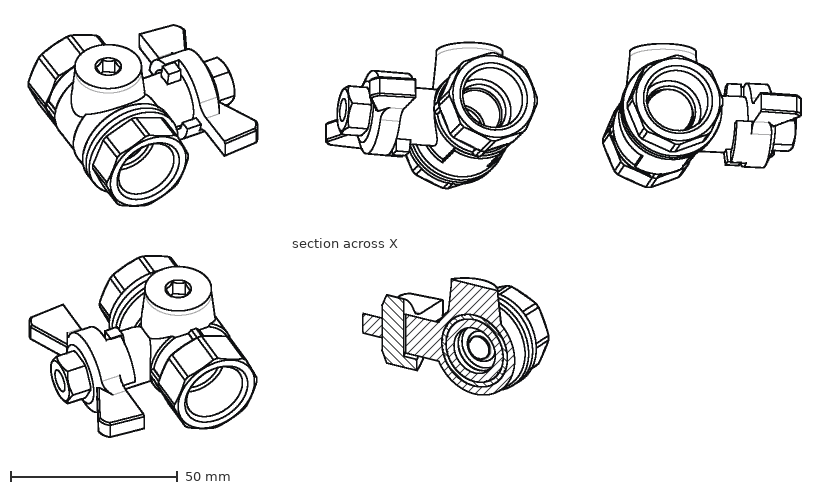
import cadquery as cq
import math


PIPE_END = 26.0
OCTAGON_FLATS = 26.0
OCTAGON_ROUND_R = 13.8
END_FACE_R = 12.75
END_CHAMFER = 0.45
LEFT_OCTAGON_END = -14.05
LEFT_OCTAGON_BACK_R = 12.95
LEFT_OCTAGON_BACK_CHAMFER = 0.4
THREAD_D = 18.65
THREAD_MOUTH_D = 21.0
THREAD_DEPTH = 13.5
PORT_D = 15.45

WAIST_R = 12.8
BARREL_R = 13.55
SHOULDER_R = 14.2
BARREL_START = -9.35
BARREL_STEP = 0.6
SHOULDER_START = 4.05
COLLAR_CONE_START = 11.35
COLLAR_START = 12.15
COLLAR_SPLIT = 14.4
COLLAR_END = 16.5
COLLAR_D = 30.0

SIDE_RIB_R = BARREL_R
SIDE_RIB_TOP_WIDTH = 2.2
UPRIGHT_RIB_R = OCTAGON_ROUND_R
UPRIGHT_RIB_TOP_WIDTH = 1.55
RIB_BASE_WIDTH = 3.6
PAD_START = -8.8
PAD_HALF_WIDTH = 7.0

BOSS_TOP = 21.5
BOSS_RIM_HEIGHT = 1.7
BOSS_D = 20.0
BOSS_DRAFT = 6.0
SOCKET_FLATS = 6.4
SOCKET_MOUTH_D = 7.85
SOCKET_DEPTH = 5.0

NECK_D = 17.0
NECK_END = 24.4
LUG_HALF_WIDTH = 2.1
LUG_REACH = 12.1
LUG_TOP = 23.45
LUG_BOTTOM = 19.4
LUG_ROOT_BOTTOM = 18.9

BALL_R = 11.5
BALL_BORE_D = 14.4
POPPET_D = 14.0
POPPET_THICKNESS = 1.5
POPPET_BACK = 11.2
POPPET_BOSS_D = 9.6
POPPET_BOSS_HEIGHT = 1.1
POPPET_BOSS_ROUND = 0.9
POPPET_TIP_D = 7.15
POPPET_TIP_HEIGHT = 0.55

SPIGOT_START = 4.5

STEM_D = 8.9
STEM_TOP_D = 6.8
STEM_BOTTOM = 9.5

HUB_R = 12.55
HUB_BOTTOM = 25.0
HUB_CONE_START = 31.1
HUB_TOP = 32.7
HUB_TOP_R = 9.25
HUB_CONE_SLOPE = (HUB_TOP - HUB_CONE_START) / (HUB_R - HUB_TOP_R)
SKIRT_BOTTOM = 20.3
SKIRT_INNER_D = 18.65
WING_THICKNESS = 5.9
WING_CHAMFER = 0.55
WING_TIP = 28.0
WING_ROOT = 10.35
WING_SHOULDER = (27.0, 35.95)
WING_CREST_MID = (25.35, 37.35)
WING_CREST = (23.1, 37.95)
GUSSET_END = 15.5

NUT_FLATS = 13.0
NUT_TOP = 39.5
NUT_TOP_FACE_R = 6.3
NUT_BOTTOM_FACE_R = 7.05
NUT_CHAMFER_ANGLE = 30.0


def turned_x(points):
    """Solid of revolution about X from (x, radius) points."""
    return cq.Workplane("XY").polyline(points).close().revolve(360, (0, 0, 0), (1, 0, 0))


def turned_y(points):
    """Solid of revolution about Y from (radius, y) points."""
    return cq.Workplane("XY").polyline(points).close().revolve(360, (0, 0, 0), (0, 1, 0))


def cylinder_x(diameter, start, end):
    return cq.Workplane("YZ").workplane(offset=start).circle(diameter / 2).extrude(end - start)


def cylinder_y(diameter, start, end):
    return cq.Workplane("XZ").workplane(offset=-end).circle(diameter / 2).extrude(end - start)


def octagon(start, end):
    """Wrench octagon along X with corners on the Y and Z axes."""
    corner_d = OCTAGON_FLATS / math.cos(math.pi / 8)
    return cq.Workplane("YZ").workplane(offset=start).polygon(8, corner_d).extrude(end - start)


def thread_bore(direction):
    """Chamfered thread bore and port, open at the pipe end on the given side of the origin."""
    mouth_depth = (THREAD_MOUTH_D - THREAD_D) / 2
    thread_end = PIPE_END - THREAD_DEPTH
    points = [
        (0, 0),
        (PIPE_END, 0),
        (PIPE_END, THREAD_MOUTH_D / 2),
        (PIPE_END - mouth_depth, THREAD_D / 2),
        (thread_end, THREAD_D / 2),
        (thread_end, PORT_D / 2),
        (0, PORT_D / 2),
    ]
    return turned_x([(direction * x, r) for x, r in points])


def ball_sphere():
    """Full ball, turned about the pipe axis."""
    half_disc = cq.Workplane("XY").moveTo(-BALL_R, 0).threePointArc((0, BALL_R), (BALL_R, 0)).close()
    return half_disc.revolve(360, (0, 0, 0), (1, 0, 0))


def left_octagon():
    turned_envelope = turned_x([
        (-PIPE_END, 0),
        (-PIPE_END, END_FACE_R),
        (-PIPE_END + END_CHAMFER, OCTAGON_ROUND_R),
        (LEFT_OCTAGON_END - LEFT_OCTAGON_BACK_CHAMFER, OCTAGON_ROUND_R),
        (LEFT_OCTAGON_END, LEFT_OCTAGON_BACK_R),
        (LEFT_OCTAGON_END, 0),
    ])
    return octagon(-PIPE_END, LEFT_OCTAGON_END).intersect(turned_envelope)


def barrel():
    return turned_x([
        (LEFT_OCTAGON_END, 0),
        (LEFT_OCTAGON_END, WAIST_R),
        (BARREL_START, WAIST_R),
        (BARREL_START + BARREL_STEP, BARREL_R),
        (SHOULDER_START, BARREL_R),
        (SHOULDER_START + BARREL_STEP, SHOULDER_R),
        (COLLAR_CONE_START, SHOULDER_R),
        (COLLAR_START, COLLAR_D / 2),
        (COLLAR_SPLIT, COLLAR_D / 2),
        (COLLAR_SPLIT, 0),
    ])


def waist_rib_pair(top_r, top_width):
    """Bar through the pipe axis whose tapered ends form ribs on the +Z and -Z sides of the waist."""
    start = LEFT_OCTAGON_END - LEFT_OCTAGON_BACK_CHAMFER
    end = BARREL_START + BARREL_STEP
    upper_outline = [
        (-RIB_BASE_WIDTH / 2, WAIST_R),
        (-top_width / 2, top_r),
        (top_width / 2, top_r),
        (RIB_BASE_WIDTH / 2, WAIST_R),
    ]
    lower_outline = [(-y, -z) for y, z in upper_outline]
    outline = cq.Workplane("YZ").workplane(offset=start).polyline(upper_outline + lower_outline).close()
    return outline.extrude(end - start)


def waist_ribs():
    """Four tapered ribs that bridge the waist between octagon and barrel."""
    upright_ribs = waist_rib_pair(UPRIGHT_RIB_R, UPRIGHT_RIB_TOP_WIDTH)
    side_ribs = waist_rib_pair(SIDE_RIB_R, SIDE_RIB_TOP_WIDTH).rotate((0, 0, 0), (1, 0, 0), 90)
    return upright_ribs.union(side_ribs)


def marking_pad():
    """Raised strip under the barrel, flush with the thicker shoulder."""
    ring = turned_x([
        (PAD_START, 0),
        (PAD_START, BARREL_R),
        (PAD_START + BARREL_STEP, SHOULDER_R),
        (COLLAR_CONE_START, SHOULDER_R),
        (COLLAR_CONE_START, 0),
    ])
    strip = cq.Workplane("XY").box(2 * PIPE_END, 2 * PAD_HALF_WIDTH, COLLAR_D, centered=(True, True, False))
    return ring.intersect(strip.translate((0, 0, -COLLAR_D)))


def drafted_boss():
    rim_bottom = BOSS_TOP - BOSS_RIM_HEIGHT
    base_r = BOSS_D / 2 + rim_bottom * math.tan(math.radians(BOSS_DRAFT))
    return (
        cq.Workplane("XZ")
        .polyline([
            (0, 0),
            (base_r, 0),
            (BOSS_D / 2, rim_bottom),
            (BOSS_D / 2, BOSS_TOP),
            (0, BOSS_TOP),
        ])
        .close()
        .revolve(360, (0, 0, 0), (0, 1, 0))
    )


def boss_socket():
    """Blind hexagon socket with a countersunk mouth."""
    corner_d = SOCKET_FLATS / math.cos(math.pi / 6)
    hexagon = cq.Workplane("XY").workplane(offset=BOSS_TOP - SOCKET_DEPTH).polygon(6, corner_d)
    mouth_depth = (SOCKET_MOUTH_D - SOCKET_FLATS) / 2
    mouth = (
        cq.Workplane("XY")
        .workplane(offset=BOSS_TOP - mouth_depth)
        .circle(SOCKET_FLATS / 2)
        .workplane(offset=mouth_depth)
        .circle(SOCKET_MOUTH_D / 2)
        .loft()
    )
    return hexagon.extrude(SOCKET_DEPTH).union(mouth)


def stop_lugs():
    """Bar through the neck whose two ends stand out as the handle stops."""
    neck_r = NECK_D / 2
    return (
        cq.Workplane("YZ")
        .workplane(offset=-LUG_HALF_WIDTH)
        .polyline([
            (LUG_TOP, LUG_REACH),
            (LUG_BOTTOM, LUG_REACH),
            (LUG_ROOT_BOTTOM, neck_r),
            (LUG_ROOT_BOTTOM, -neck_r),
            (LUG_BOTTOM, -LUG_REACH),
            (LUG_TOP, -LUG_REACH),
        ])
        .close()
        .extrude(2 * LUG_HALF_WIDTH)
    )


def make_housing():
    solid = left_octagon().union(barrel()).union(waist_ribs()).union(marking_pad())
    solid = solid.union(drafted_boss()).cut(boss_socket())
    solid = solid.union(cylinder_y(NECK_D, 0, NECK_END)).union(stop_lugs())
    solid = solid.cut(thread_bore(-1)).cut(ball_sphere())
    solid = solid.cut(cylinder_x(2 * BALL_R, 0, COLLAR_SPLIT))
    return solid.cut(cylinder_y(STEM_D, 0, NECK_END))


def make_end_cap():
    turned_envelope = turned_x([
        (COLLAR_SPLIT, 0),
        (COLLAR_SPLIT, OCTAGON_ROUND_R),
        (PIPE_END - END_CHAMFER, OCTAGON_ROUND_R),
        (PIPE_END, END_FACE_R),
        (PIPE_END, 0),
    ])
    solid = octagon(COLLAR_SPLIT, PIPE_END).intersect(turned_envelope)
    solid = solid.union(cylinder_x(COLLAR_D, COLLAR_SPLIT, COLLAR_END))
    solid = solid.union(cylinder_x(2 * BALL_R, SPIGOT_START, COLLAR_SPLIT))
    return solid.cut(thread_bore(1)).cut(ball_sphere())


def make_ball():
    """Bored ball with the bore ends opened out to the port size and a recess for the stem."""
    port_r = PORT_D / 2
    bore_r = BALL_BORE_D / 2
    mouth = math.sqrt(BALL_R**2 - port_r**2)
    flare_start = mouth - (port_r - bore_r)
    bore = turned_x([
        (-BALL_R, 0),
        (-BALL_R, port_r),
        (-mouth, port_r),
        (-flare_start, bore_r),
        (flare_start, bore_r),
        (mouth, port_r),
        (BALL_R, port_r),
        (BALL_R, 0),
    ])
    return ball_sphere().cut(bore).cut(cylinder_y(STEM_D, STEM_BOTTOM, BALL_R))


def make_poppet():
    front = POPPET_BACK - POPPET_THICKNESS
    boss_front = front - POPPET_BOSS_HEIGHT
    plate = cylinder_x(POPPET_D, front, POPPET_BACK)
    boss = cylinder_x(POPPET_BOSS_D, boss_front, front).faces("<X").edges().fillet(POPPET_BOSS_ROUND)
    tip = cylinder_x(POPPET_TIP_D, boss_front - POPPET_TIP_HEIGHT, boss_front)
    return plate.union(boss).union(tip)


def make_stem():
    lower = cylinder_y(STEM_D, STEM_BOTTOM, HUB_BOTTOM)
    return lower.union(cylinder_y(STEM_TOP_D, HUB_BOTTOM, NUT_TOP))


def root_gussets():
    """Concave fillets, tangent to the hub and to the wing sides, as plan shapes extruded along Y."""
    half = WING_THICKNESS / 2
    fillet_r = (GUSSET_END**2 + half**2 - HUB_R**2) / (2 * (HUB_R - half))
    centre_z = half + fillet_r
    centre_distance = HUB_R + fillet_r
    hub_x = GUSSET_END * HUB_R / centre_distance
    hub_z = centre_z * HUB_R / centre_distance
    toward_hub = math.atan2(hub_z - centre_z, hub_x - GUSSET_END)
    middle = (toward_hub - math.pi / 2) / 2
    arc_middle = (GUSSET_END + fillet_r * math.cos(middle), centre_z + fillet_r * math.sin(middle))
    quarter = (
        cq.Workplane("XZ")
        .workplane(offset=-HUB_TOP)
        .moveTo(0, 0)
        .lineTo(hub_x, hub_z)
        .threePointArc(arc_middle, (GUSSET_END, half))
        .lineTo(GUSSET_END, 0)
        .close()
        .extrude(HUB_TOP - HUB_BOTTOM)
    )
    pair = quarter.union(quarter.mirror("XY"))
    return pair.union(pair.mirror("YZ"))


def hub():
    """Round hub with gussets, all under one cone that runs on past the hub."""
    outer_r = math.hypot(GUSSET_END, WING_THICKNESS / 2)
    outer_y = HUB_TOP - HUB_CONE_SLOPE * (outer_r - HUB_TOP_R)
    cone = turned_y([
        (0, HUB_BOTTOM),
        (outer_r, HUB_BOTTOM),
        (outer_r, outer_y),
        (HUB_TOP_R, HUB_TOP),
        (0, HUB_TOP),
    ])
    return cylinder_y(2 * HUB_R, HUB_BOTTOM, HUB_TOP).union(root_gussets()).intersect(cone)


def wing_outline(offset):
    """Wing outline on a plane at the given Z, run on below the hub so that its lower edge stays plain."""
    root_y = HUB_TOP - HUB_CONE_SLOPE * (WING_ROOT - HUB_TOP_R)
    tip_slope = (WING_TIP - WING_SHOULDER[0]) / (WING_SHOULDER[1] - HUB_BOTTOM)
    run_on = 2 * WING_CHAMFER
    lower_y = HUB_BOTTOM - run_on
    return (
        cq.Workplane("XY")
        .workplane(offset=offset)
        .moveTo(STEM_TOP_D, lower_y)
        .lineTo(WING_TIP + run_on * tip_slope, lower_y)
        .lineTo(*WING_SHOULDER)
        .threePointArc(WING_CREST_MID, WING_CREST)
        .lineTo(WING_ROOT, root_y)
        .lineTo(STEM_TOP_D, root_y)
        .close()
    )


def wing():
    """Wing on the +X side, chamfered along its tip and upper edges."""
    flat_half = WING_THICKNESS / 2 - WING_CHAMFER
    middle = wing_outline(-flat_half).extrude(2 * flat_half)
    chamfered_side = wing_outline(flat_half).extrude(WING_CHAMFER, taper=45)
    blade = middle.union(chamfered_side).union(chamfered_side.mirror("XY"))
    below_hub = cq.Workplane("XY").box(4 * WING_TIP, 2 * HUB_BOTTOM, 4 * WING_THICKNESS)
    return blade.cut(below_hub)


def skirt():
    """Two opposite quarter rings below the hub that turn between the stop lugs."""
    ring = cylinder_y(2 * HUB_R, SKIRT_BOTTOM, HUB_BOTTOM).cut(
        cylinder_y(SKIRT_INNER_D, SKIRT_BOTTOM, HUB_BOTTOM)
    )
    height = HUB_BOTTOM - SKIRT_BOTTOM
    quadrant = cq.Workplane("XY").box(HUB_R, height, HUB_R, centered=False)
    upper_left = quadrant.translate((-HUB_R - LUG_HALF_WIDTH, SKIRT_BOTTOM, LUG_HALF_WIDTH))
    lower_right = quadrant.translate((LUG_HALF_WIDTH, SKIRT_BOTTOM, -HUB_R - LUG_HALF_WIDTH))
    return ring.intersect(upper_left.union(lower_right))


def make_handle():
    right_wing = wing()
    solid = hub().union(right_wing).union(right_wing.mirror("YZ")).union(skirt())
    return solid.cut(cylinder_y(STEM_TOP_D, HUB_BOTTOM, HUB_TOP))


def make_nut():
    corner_r = NUT_FLATS / 2 / math.cos(math.pi / 6)
    chamfer_slope = math.tan(math.radians(NUT_CHAMFER_ANGLE))
    prism = cq.Workplane("XZ").workplane(offset=-NUT_TOP).polygon(6, 2 * corner_r).extrude(NUT_TOP - HUB_TOP)
    turned_envelope = turned_y([
        (0, HUB_TOP),
        (NUT_BOTTOM_FACE_R, HUB_TOP),
        (corner_r, HUB_TOP + (corner_r - NUT_BOTTOM_FACE_R) * chamfer_slope),
        (corner_r, NUT_TOP - (corner_r - NUT_TOP_FACE_R) * chamfer_slope),
        (NUT_TOP_FACE_R, NUT_TOP),
        (0, NUT_TOP),
    ])
    return prism.intersect(turned_envelope).cut(cylinder_y(STEM_TOP_D, HUB_TOP, NUT_TOP))


housing = make_housing()
end_cap = make_end_cap()
ball = make_ball()
poppet = make_poppet()
stem = make_stem()
handle = make_handle()
nut = make_nut()

result = cq.Compound.makeCompound([
    housing.val(),
    end_cap.val(),
    ball.val(),
    poppet.val(),
    stem.val(),
    handle.val(),
    nut.val(),
])